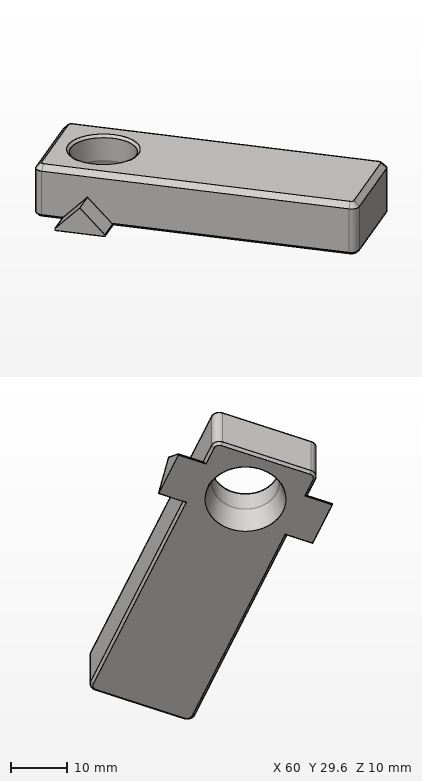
import cadquery as cq

length = 60.0
width = 20.0
height = 10.0
corner_radius = 1.5
top_chamfer = 1.0
bottom_chamfer = 0.5

hole_diameter = 12.1
hole_chamfer = 0.5
flare_diameter = 14.4
flare_height = height / 2
hole_x = width / 2

bar_length = 29.6
bar_width = 9.3
bar_height = height / 2
bar_side_height = bar_height - bar_width / 2


def make_body():
    block = cq.Workplane("XY").box(length, width, height, centered=(False, True, False))
    block = block.edges("|Z").fillet(corner_radius)
    block = block.faces(">Z").chamfer(top_chamfer)
    return block.faces("<Z").chamfer(bottom_chamfer)


def make_bar():
    half_width = bar_width / 2
    profile = [
        (hole_x - half_width, 0),
        (hole_x + half_width, 0),
        (hole_x + half_width, bar_side_height),
        (hole_x, bar_height),
        (hole_x - half_width, bar_side_height),
    ]
    return cq.Workplane("XZ").polyline(profile).close().extrude(bar_length / 2, both=True)


def make_hole():
    hole_radius = hole_diameter / 2
    profile = [
        (0, 0),
        (flare_diameter / 2, 0),
        (hole_radius, flare_height),
        (hole_radius, height - hole_chamfer),
        (hole_radius + hole_chamfer, height),
        (0, height),
    ]
    cutter = cq.Workplane("XZ").polyline(profile).close().revolve(360, (0, 0), (0, 1))
    return cutter.translate((hole_x, 0, 0))


result = make_body().union(make_bar()).cut(make_hole())